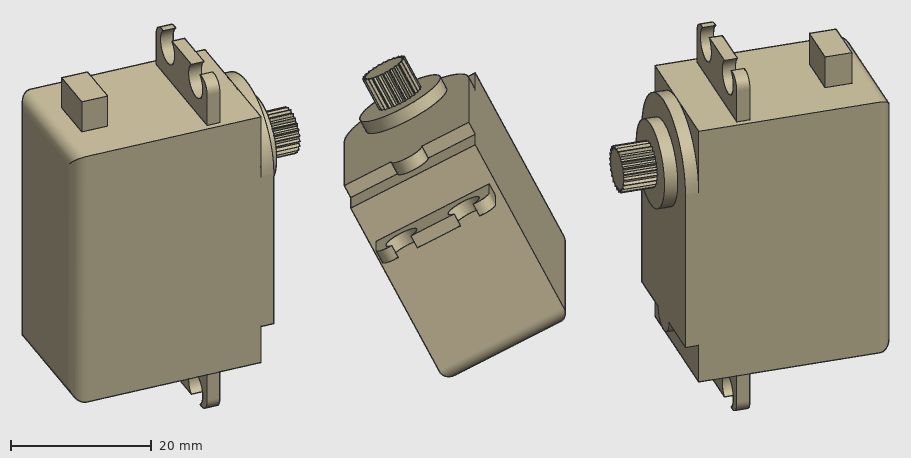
import cadquery as cq
import math

case_width = 20.0
case_depth = 29.05
case_height = 41.0
cover_radius = 2.0

flange_width = 18.2
flange_height = 55.0
flange_thickness = 2.0
flange_setback = 6.0
flange_corner_radius = 2.0
screw_hole_diameter = 5.0
screw_hole_spacing = 10.0
screw_hole_inset = 2.0

connector_width = 7.2
connector_depth = 4.0
connector_height = 5.0
connector_setback = 21.0

plate_thickness = 2.0
plate_bottom_gap = 6.0
tab_radius = 2.5

boss_diameter = 13.0
boss_length = 2.0
spline_length = 5.0
spline_outer_diameter = 6.8
spline_root_diameter = 6.0
tooth_count = 24
tooth_base_share = 0.6

axis_z = case_height / 2 - case_width / 2
boss_start = plate_thickness
spline_start = boss_start + boss_length


def plane_at(y, z=0.0):
    """Sketch plane facing +Y: local x is -X, local y is Z."""
    return cq.Workplane(cq.Plane(origin=(0, y, z), xDir=(-1, 0, 0), normal=(0, 1, 0)))


def make_case():
    block = plane_at(-case_depth).rect(case_width, case_height).extrude(case_depth)
    return block.faces("<Y").edges().fillet(cover_radius)


def make_flange():
    hole_x = screw_hole_spacing / 2
    hole_z = flange_height / 2 - screw_hole_inset
    hole_centres = [(x, z) for x in (-hole_x, hole_x) for z in (-hole_z, hole_z)]
    start = -flange_setback - flange_thickness
    flange = plane_at(start).rect(flange_width, flange_height).extrude(flange_thickness)
    flange = flange.edges("|Y").fillet(flange_corner_radius)
    holes = plane_at(start).pushPoints(hole_centres).circle(screw_hole_diameter / 2)
    return flange.cut(holes.extrude(flange_thickness))


def make_connector():
    connector = cq.Workplane("XY").box(
        connector_width, connector_depth, connector_height, centered=(True, False, False)
    )
    return connector.translate((0, -connector_setback - connector_depth, case_height / 2))


def make_plate():
    half_width = case_width / 2
    bottom_z = plate_bottom_gap - case_height / 2
    return (
        plane_at(0)
        .moveTo(-half_width, axis_z)
        .lineTo(-half_width, bottom_z)
        .lineTo(-tab_radius, bottom_z)
        .threePointArc((0, bottom_z - tab_radius), (tab_radius, bottom_z))
        .lineTo(half_width, bottom_z)
        .lineTo(half_width, axis_z)
        .threePointArc((0, case_height / 2), (-half_width, axis_z))
        .close()
        .extrude(plate_thickness)
    )


def make_boss():
    return plane_at(boss_start, axis_z).circle(boss_diameter / 2).extrude(boss_length)


def make_spline():
    """Round core with pointed teeth; one tooth points along each of X and Z both ways."""
    root_radius = spline_root_diameter / 2
    tip_radius = spline_outer_diameter / 2
    pitch = 2 * math.pi / tooth_count
    half_base = tooth_base_share * pitch / 2

    def polar(radius, angle):
        return (radius * math.cos(angle), radius * math.sin(angle))

    outline = plane_at(spline_start, axis_z).moveTo(*polar(root_radius, -half_base))
    for index in range(tooth_count):
        tip_angle = index * pitch
        base_end = tip_angle + half_base
        next_base = tip_angle + pitch - half_base
        outline = (
            outline.lineTo(*polar(tip_radius, tip_angle))
            .lineTo(*polar(root_radius, base_end))
            .threePointArc(polar(root_radius, tip_angle + pitch / 2), polar(root_radius, next_base))
        )
    return outline.close().extrude(spline_length)


result = (
    make_case()
    .union(make_flange())
    .union(make_connector())
    .union(make_plate())
    .union(make_boss())
    .union(make_spline())
)